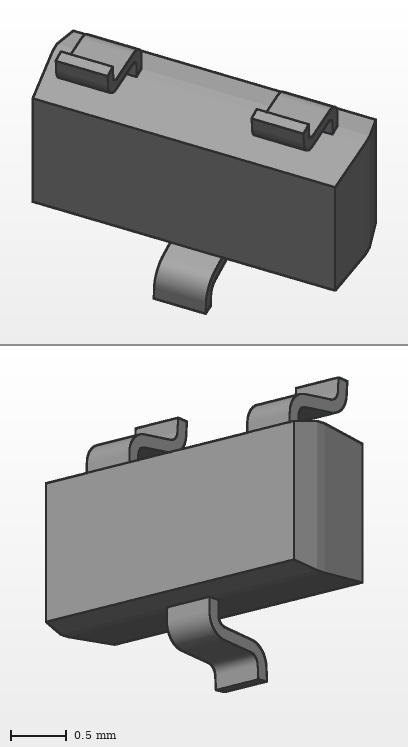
import cadquery as cq
import math

length = 3.04
total_depth = 1.04
total_height = 2.64

body_height = 1.398
band_width = 0.1
back_depth = 0.26
face_shrink = 0.1
standoff = 0.1

face_inset = face_shrink / 2
back_y = total_depth / 2
front_y = standoff - total_depth / 2
band_back_y = back_y - back_depth
band_front_y = band_back_y - band_width

lead_width = 0.505
lead_thickness = 0.122
lead_pitch = 0.95
inner_radius = 0.1
outer_radius = inner_radius + lead_thickness
stub_length = 0.137
embed_depth = 0.09
leg_slope = math.radians(5)
foot_lean = math.radians(4)


def tapered_block(y_start, y_end, inset_start, inset_end):
    """Block along Y whose rectangular ends are inset from the full body outline."""
    return (
        cq.Workplane("XZ", origin=(0, y_start, 0))
        .rect(length - 2 * inset_start, body_height - 2 * inset_start)
        .workplane(offset=y_start - y_end)
        .rect(length - 2 * inset_end, body_height - 2 * inset_end)
        .loft(ruled=True)
    )


def polar(center, radius, angle):
    """Point in the YZ plane, with the angle measured from +Y towards +Z."""
    return (center[0] + radius * math.cos(angle), center[1] + radius * math.sin(angle))


def make_lead():
    """Upward lead centred on X = 0: stub, shoulder bend, sloped leg, foot bend, foot."""
    lead_back_y = (band_back_y + band_front_y + lead_thickness) / 2
    lead_front_y = lead_back_y - lead_thickness
    base_z = body_height / 2 - embed_depth
    shoulder = (lead_back_y - outer_radius, body_height / 2 + stub_length)

    leg_angle = math.pi / 2 - leg_slope
    foot_bend_start = leg_angle + math.pi
    foot_bend_end = math.pi + foot_lean
    shoulder_middle = leg_angle / 2
    foot_middle = (foot_bend_start + foot_bend_end) / 2

    foot_tip_inner_z = total_height / 2
    foot_tip_outer_y = -total_depth / 2
    center_distance = inner_radius + outer_radius
    bends_y = shoulder[0] + center_distance * math.cos(leg_angle) - outer_radius * math.cos(foot_lean)
    bends_z = shoulder[1] + center_distance * math.sin(leg_angle) - inner_radius * math.sin(foot_lean)
    reach = bends_y - foot_tip_outer_y
    rise = foot_tip_inner_z - bends_z
    leg_length = (reach - rise * math.tan(foot_lean)) / (
        math.cos(leg_slope) - math.sin(leg_slope) * math.tan(foot_lean)
    )
    foot_length = (rise - leg_length * math.sin(leg_slope)) / math.cos(foot_lean)

    shoulder_end = polar(shoulder, center_distance, leg_angle)
    foot = polar(shoulder_end, leg_length, math.pi - leg_slope)
    tip_direction = math.pi / 2 + foot_lean
    foot_inner = polar(foot, inner_radius, foot_bend_end)
    foot_outer = polar(foot, outer_radius, foot_bend_end)

    profile = (
        cq.Workplane("YZ")
        .moveTo(lead_back_y, base_z)
        .lineTo(*polar(shoulder, outer_radius, 0))
        .threePointArc(
            polar(shoulder, outer_radius, shoulder_middle),
            polar(shoulder, outer_radius, leg_angle),
        )
        .lineTo(*polar(foot, inner_radius, foot_bend_start))
        .threePointArc(polar(foot, inner_radius, foot_middle), foot_inner)
        .lineTo(*polar(foot_inner, foot_length, tip_direction))
        .lineTo(*polar(foot_outer, foot_length, tip_direction))
        .lineTo(*foot_outer)
        .threePointArc(
            polar(foot, outer_radius, foot_middle),
            polar(foot, outer_radius, foot_bend_start),
        )
        .lineTo(*polar(shoulder, inner_radius, leg_angle))
        .threePointArc(
            polar(shoulder, inner_radius, shoulder_middle),
            polar(shoulder, inner_radius, 0),
        )
        .lineTo(lead_front_y, base_z)
        .close()
    )
    return profile.extrude(lead_width / 2, both=True)


back = tapered_block(back_y, band_back_y, face_inset, 0)
band = tapered_block(band_back_y, band_front_y, 0, 0)
front = tapered_block(band_front_y, front_y, 0, face_inset)
body = back.union(band).union(front)

lead = make_lead()
result = body.union(lead.mirror("XY"))
for side in (-1, 1):
    result = result.union(lead.translate((side * lead_pitch, 0, 0)))